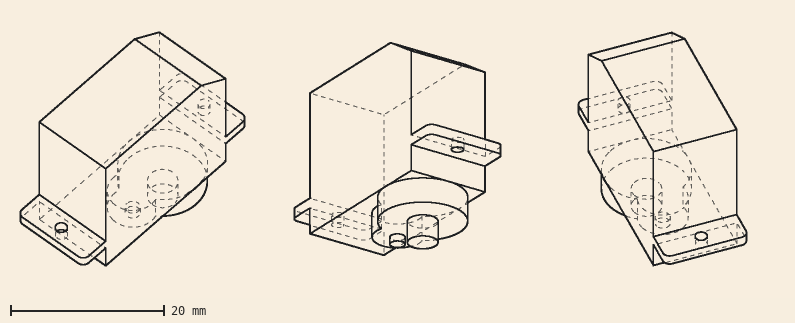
import cadquery as cq

case_width = 11.65
case_length = 23.42
case_height = 20.3
bevel_length = 4.8
bevel_drop = 3.05

flange_length = 32.0
flange_thickness = 1.45
flange_bottom = 3.7
flange_corner_radius = 0.95
screw_hole_diameter = 1.6
screw_hole_spacing = 27.78

housing_depth = 3.5
main_housing_diameter = 11.75
idler_housing_diameter = 6.65
shaft_diameter = 4.0
shaft_length = 3.05
idler_pin_diameter = 2.0
idler_pin_length = 1.02
main_axis_y = (case_length - main_housing_diameter) / 2
idler_axis_y = 0.0


def make_case():
    """Rectangular case with a sloped bevel on its +Y top edge."""
    half_length = case_length / 2
    profile = [
        (-half_length, 0),
        (half_length, 0),
        (half_length, case_height - bevel_drop),
        (half_length - bevel_length, case_height),
        (-half_length, case_height),
    ]
    return cq.Workplane("YZ").polyline(profile).close().extrude(case_width / 2, both=True)


def make_flange():
    """Flat plate with rounded corners that passes through the case."""
    return (
        cq.Workplane("XY")
        .workplane(offset=flange_bottom)
        .rect(case_width, flange_length)
        .extrude(flange_thickness)
        .edges("|Z")
        .fillet(flange_corner_radius)
    )


def make_screw_holes():
    """Cutters for the screw hole in each end of the flange."""
    hole_y = screw_hole_spacing / 2
    return (
        cq.Workplane("XY")
        .workplane(offset=flange_bottom)
        .pushPoints([(0, -hole_y), (0, hole_y)])
        .circle(screw_hole_diameter / 2)
        .extrude(flange_thickness)
    )


def hanging_cylinder(axis_y, diameter, depth):
    """Cylinder from the case underside down to the given depth."""
    return cq.Workplane("XY").center(0, axis_y).circle(diameter / 2).extrude(-depth)


result = make_case().union(make_flange()).cut(make_screw_holes())

for axis_y, diameter, depth in [
    (main_axis_y, main_housing_diameter, housing_depth),
    (idler_axis_y, idler_housing_diameter, housing_depth),
    (main_axis_y, shaft_diameter, housing_depth + shaft_length),
    (idler_axis_y, idler_pin_diameter, housing_depth + idler_pin_length),
]:
    result = result.union(hanging_cylinder(axis_y, diameter, depth))